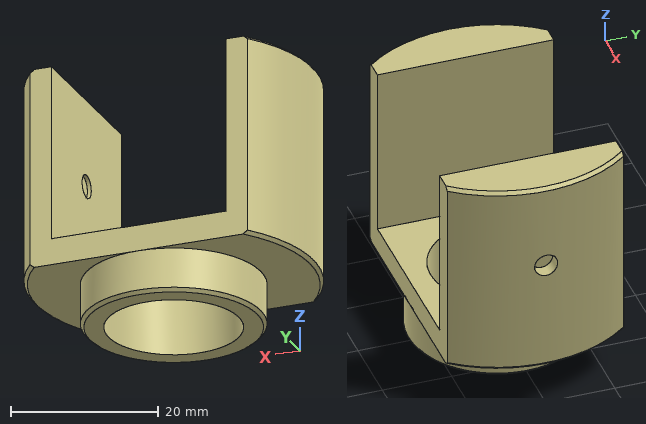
import cadquery as cq

body_diameter = 40.8
body_depth = 25.4
body_height = 29.3
chamfer_size = 0.5

channel_width = 25.55
floor_thickness = 3.85

boss_diameter = body_depth
boss_height = 6.3
bore_diameter = 19.0

screw_hole_diameter = 3.3
screw_hole_height = (floor_thickness + body_height) / 2
inner_recess_depth = 0.57
plug_length = 5.0


def make_body():
    """Chamfered disc cut to the flat depth; its bottom face lies on Z = 0."""
    disc = cq.Workplane("XY").circle(body_diameter / 2).extrude(body_height)
    disc = disc.faces("<Z or >Z").edges().chamfer(chamfer_size)
    flats = cq.Workplane("XY").rect(body_diameter, body_depth).extrude(body_height)
    return disc.intersect(flats)


def make_boss():
    """Round boss hanging below the body, chamfered at its lower rim."""
    boss = cq.Workplane("XY").circle(boss_diameter / 2).extrude(-boss_height)
    return boss.faces("<Z").edges().chamfer(chamfer_size)


def make_channel():
    """Volume between the arms, open at the top, front and back."""
    channel = cq.Workplane("XY").workplane(offset=floor_thickness)
    return channel.rect(channel_width, body_depth).extrude(body_height - floor_thickness)


def make_bore():
    """Vertical bore through the boss and the floor."""
    bore = cq.Workplane("XY").workplane(offset=-boss_height)
    return bore.circle(bore_diameter / 2).extrude(boss_height + floor_thickness)


def make_screw_hole():
    """Two coaxial recesses along X, one from each face of the +X arm, with the plug left between."""
    inner_face_x = channel_width / 2
    plug_end_x = inner_face_x + inner_recess_depth + plug_length
    hole_plane = cq.Workplane("YZ").center(0, screw_hole_height)
    inner_recess = (
        hole_plane.workplane(offset=inner_face_x)
        .circle(screw_hole_diameter / 2)
        .extrude(inner_recess_depth)
    )
    outer_recess = (
        hole_plane.workplane(offset=plug_end_x)
        .circle(screw_hole_diameter / 2)
        .extrude(body_diameter / 2 - plug_end_x)
    )
    return inner_recess.union(outer_recess)


result = make_body().union(make_boss())
result = result.cut(make_channel()).cut(make_bore()).cut(make_screw_hole())